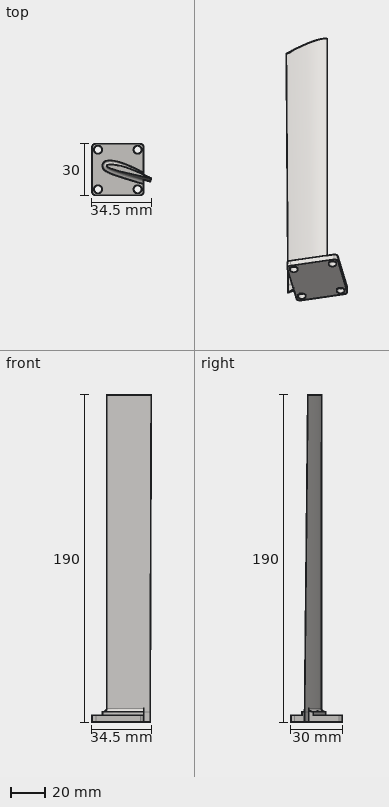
import cadquery as cq
import math

plate_side = 30.0
plate_thickness = 4.0
plate_corner_radius = 2.0
hole_diameter = 4.5
hole_spacing = 23.0

total_height = 190.0
chord = 27.0
nose_x = -6.5
nose_y = 2.3
thickness_ratio = 0.12
camber_ratio = 0.02
camber_station = 0.4
root_angle = -20.2
tip_angle = -16.0
outline_steps = 16
tangent_step = 0.001

pedestal_top = 6.0
pedestal_margin = 2.5
foot_fillet = 1.9

plate_edge_x = plate_side / 2
cut_height = pedestal_top + 2 * foot_fillet
selection_slack = 0.2


def half_thickness(station):
    """Half thickness of a four-digit airfoil at a fraction of the chord."""
    shape = (
        0.2969 * math.sqrt(station)
        - 0.126 * station
        - 0.3516 * station**2
        + 0.2843 * station**3
        - 0.1015 * station**4
    )
    return 5 * thickness_ratio * chord * shape


def camber(station):
    """Height of the curved mid-line above the chord at a fraction of the chord."""
    span = camber_station if station < camber_station else 1 - camber_station
    return camber_ratio * chord * (1 - ((station - camber_station) / span) ** 2)


def outline_point(t):
    """Point on the airfoil: t runs from -1 (lower tail) past 0 (nose) to 1 (upper tail)."""
    station = t**2
    return chord * station, camber(station) + math.copysign(half_thickness(station), t)


def airfoil(height, angle, margin=0.0):
    """Closed airfoil outline, pushed outward by the margin, turned about its nose."""
    points = []
    for step in range(-outline_steps, outline_steps + 1):
        t = step / outline_steps
        x, y = outline_point(t)
        if margin > 0:
            before = outline_point(t - tangent_step)
            after = outline_point(t + tangent_step)
            run = after[0] - before[0]
            rise = after[1] - before[1]
            length = math.hypot(run, rise)
            x -= margin * rise / length
            y += margin * run / length
        points.append((x, y))
    return (
        cq.Workplane("XY", origin=(nose_x, nose_y, height))
        .transformed(rotate=(0, 0, angle))
        .spline(points)
        .close()
    )


def base_plate():
    """Square plate with rounded corners and four through holes."""
    return (
        cq.Workplane("XY")
        .rect(plate_side, plate_side)
        .extrude(plate_thickness)
        .edges("|Z")
        .fillet(plate_corner_radius)
        .faces(">Z")
        .workplane()
        .rect(hole_spacing, hole_spacing, forConstruction=True)
        .vertices()
        .hole(hole_diameter)
    )


def blade():
    """Straight foot up to the pedestal top, then a twisted loft to the tip."""
    foot = airfoil(0, root_angle).extrude(pedestal_top)
    root_wire = airfoil(pedestal_top, root_angle).wires().val()
    tip_wire = airfoil(total_height, tip_angle).wires().val()
    twisted = cq.Solid.makeLoft([root_wire, tip_wire], True)
    return foot.union(cq.Workplane(twisted))


def filleted_pedestal(whole_blade, plate_column):
    """Collar and lower blade joined by a concave fillet, cut flush with the plate edge."""
    collar = airfoil(0, root_angle, pedestal_margin).extrude(pedestal_top)
    joined = collar.union(whole_blade).intersect(plate_column)
    blade_foot = cq.selectors.BoxSelector(
        (nose_x - selection_slack, -plate_side, pedestal_top - selection_slack),
        (plate_edge_x + selection_slack, plate_side, pedestal_top + selection_slack),
        boundingbox=True,
    )
    return joined.edges(blade_foot).edges("%BSPLINE").fillet(foot_fillet)


whole_blade = blade()
plate_column = cq.Workplane("XY").rect(plate_side, plate_side).extrude(cut_height)
result = (
    base_plate()
    .union(filleted_pedestal(whole_blade, plate_column))
    .union(whole_blade.cut(plate_column))
)